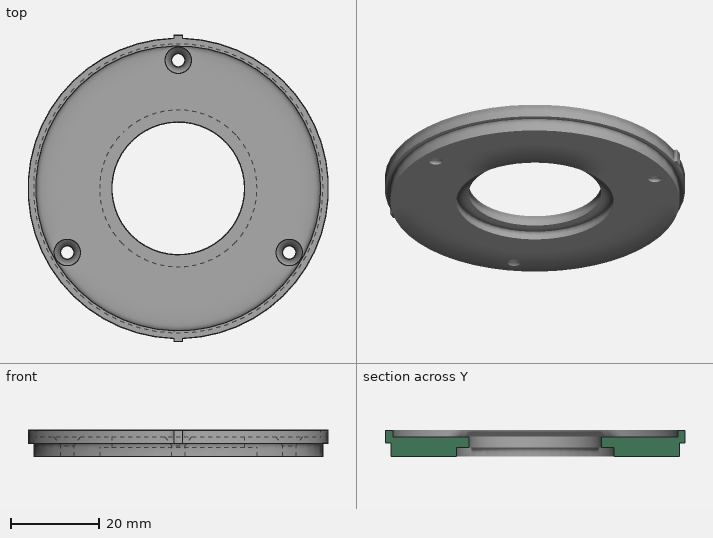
import cadquery as cq
import math

height = 6.0
rim_diameter = 68.0
tab_span = 69.4
tab_width = 2.0

spigot_diameter = 65.5
spigot_height = 3.0
rim_height = height - spigot_height

recess_diameter = 64.5
recess_depth = 1.5
floor_z = height - recess_depth
bore_diameter = 30.0
counterbore_diameter = 35.6
counterbore_depth = 2.0

screw_count = 3
screw_circle_radius = 29.0
screw_hole_diameter = 3.0
countersink_diameter = 6.0
countersink_depth = 2.0
countersink_angle = 2 * math.degrees(
    math.atan((countersink_diameter - screw_hole_diameter) / 2 / countersink_depth)
)


def make_body():
    """Round plate with a narrower spigot below the rim."""
    spigot = cq.Workplane("XY").circle(spigot_diameter / 2).extrude(spigot_height)
    rim = (
        cq.Workplane("XY", origin=(0, 0, spigot_height))
        .circle(rim_diameter / 2)
        .extrude(rim_height)
    )
    return spigot.union(rim)


def make_tabs():
    """Bar across the rim whose two ends form the locating tabs."""
    return (
        cq.Workplane("XY", origin=(0, 0, spigot_height))
        .rect(tab_width, tab_span)
        .extrude(rim_height)
    )


def cut_openings(body):
    """Shallow top recess, through bore and the counterbore underneath."""
    recess = (
        cq.Workplane("XY", origin=(0, 0, floor_z))
        .circle(recess_diameter / 2)
        .extrude(recess_depth)
    )
    bore = cq.Workplane("XY").circle(bore_diameter / 2).extrude(height)
    counterbore = cq.Workplane("XY").circle(counterbore_diameter / 2).extrude(counterbore_depth)
    return body.cut(recess).cut(bore).cut(counterbore)


def cut_screw_holes(body):
    """Equally spaced countersunk holes in the recess floor, the first on +Y."""
    return (
        cq.Workplane(body.val())
        .copyWorkplane(cq.Workplane("XY", origin=(0, 0, floor_z)))
        .polarArray(screw_circle_radius, 90, 360, screw_count)
        .cskHole(screw_hole_diameter, countersink_diameter, countersink_angle)
    )


plate = make_body().union(make_tabs())
result = cut_screw_holes(cut_openings(plate))